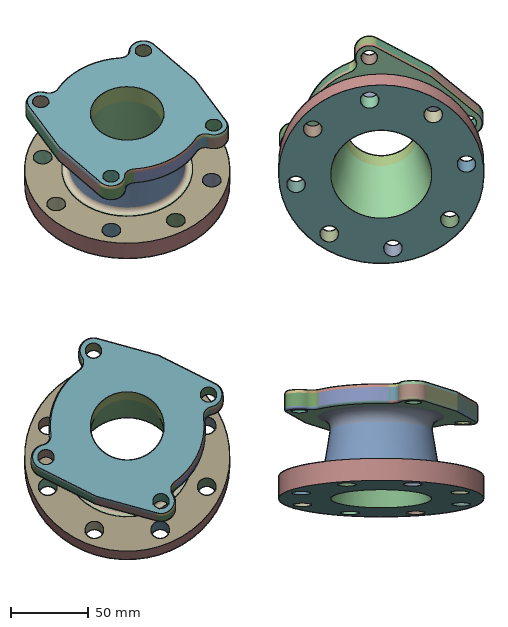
import cadquery as cq
import math

height = 66.7

base_radius = 66.5
base_thickness = 14.5
base_bolt_circle_radius = 55.8
base_hole_diameter = 12.0
base_hole_count = 8
raised_face_radius = 42.5
raised_face_height = 0.3

neck_bottom_radius = 38.2
neck_top_radius = 31.7
neck_bottom_fillet = 3.5
neck_top_fillet = 8.0

bore_top_radius = 23.8
bore_bottom_radius = 32.7
bore_straight_depth = 14.0

plate_thickness = 12.9
plate_side_radius = 50.7
plate_peak_y = 54.2
ear_offset = 40.3
ear_radius = 9.6
ear_hole_diameter = 10.5
ear_blend_radius = 6.0
plate_top_round = 4.0
plate_top_round_height = 2.5
plate_bottom_round = 2.0
plate_bottom_round_height = 1.6

raised_face_z = base_thickness + raised_face_height
plate_bottom_z = height - plate_thickness
plate_blank_bottom_z = plate_bottom_z - (plate_bottom_round - plate_bottom_round_height)
plate_blank_top_z = height + (plate_top_round - plate_top_round_height)
bore_step_z = height - bore_straight_depth


def polar(radius, angle, center=(0, 0)):
    """Point at a radius and angle (radians) from a center."""
    return (center[0] + radius * math.cos(angle), center[1] + radius * math.sin(angle))


def make_plate():
    """Plate with two peaked edges, two round sides and an ear at each corner."""
    ear = (ear_offset, ear_offset)
    ear_distance = math.hypot(*ear)

    peak_dx = -ear_offset
    peak_dy = plate_peak_y - ear_offset
    peak_angle = math.atan2(peak_dy, peak_dx)
    tangent_angle = peak_angle - math.acos(ear_radius / math.hypot(peak_dx, peak_dy))

    side_reach = plate_side_radius + ear_blend_radius
    ear_reach = ear_radius + ear_blend_radius
    cos_offset = (side_reach**2 + ear_distance**2 - ear_reach**2) / (2 * side_reach * ear_distance)
    blend_angle = math.pi / 4 - math.acos(cos_offset)
    blend = polar(side_reach, blend_angle)
    ear_to_blend = math.atan2(blend[1] - ear[1], blend[0] - ear[0])
    to_ear = ear_to_blend + math.pi
    to_side = blend_angle + math.pi

    side_middle = (plate_side_radius, 0)
    side_end = polar(plate_side_radius, blend_angle)
    blend_middle = polar(ear_blend_radius, (to_ear + to_side) / 2, blend)
    ear_start = polar(ear_radius, ear_to_blend, ear)
    ear_middle = polar(ear_radius, (ear_to_blend + tangent_angle) / 2, ear)
    ear_end = polar(ear_radius, tangent_angle, ear)

    def flip_y(point):
        return (point[0], -point[1])

    half = (
        cq.Workplane("XY", origin=(0, 0, plate_blank_bottom_z))
        .moveTo(0, -plate_peak_y)
        .lineTo(*flip_y(ear_end))
        .threePointArc(flip_y(ear_middle), flip_y(ear_start))
        .threePointArc(flip_y(blend_middle), flip_y(side_end))
        .threePointArc(side_middle, side_end)
        .threePointArc(blend_middle, ear_start)
        .threePointArc(ear_middle, ear_end)
        .lineTo(0, plate_peak_y)
    )
    blank = half.mirrorY().extrude(plate_blank_top_z - plate_blank_bottom_z)
    blank = blank.faces(">Z").edges().fillet(plate_top_round)
    blank = blank.faces("<Z").edges().fillet(plate_bottom_round)

    slab = (
        cq.Workplane("XY", origin=(0, 0, plate_bottom_z))
        .circle(2 * base_radius)
        .extrude(plate_thickness)
    )
    return blank.intersect(slab)


def make_neck():
    """Solid neck: a cone with a fillet where it meets each flange."""
    length = plate_bottom_z - raised_face_z
    taper = math.atan2(neck_bottom_radius - neck_top_radius, length)

    bottom_trim = neck_bottom_fillet * math.tan((math.pi / 2 - taper) / 2)
    top_trim = neck_top_fillet * math.tan((math.pi / 2 + taper) / 2)

    bottom_center = (neck_bottom_radius + bottom_trim, raised_face_z + neck_bottom_fillet)
    top_center = (neck_top_radius + top_trim, plate_bottom_z - neck_top_fillet)
    to_side = taper + math.pi
    bottom_middle = polar(neck_bottom_fillet, (to_side + 1.5 * math.pi) / 2, bottom_center)
    top_middle = polar(neck_top_fillet, (to_side + 0.5 * math.pi) / 2, top_center)
    return (
        cq.Workplane("XZ")
        .moveTo(0, raised_face_z)
        .lineTo(bottom_center[0], raised_face_z)
        .threePointArc(bottom_middle, polar(neck_bottom_fillet, to_side, bottom_center))
        .lineTo(*polar(neck_top_fillet, to_side, top_center))
        .threePointArc(top_middle, (top_center[0], plate_bottom_z))
        .lineTo(0, plate_bottom_z)
        .close()
        .revolve(360, (0, 0, 0), (0, 1, 0))
    )


def make_base():
    """Round flange with a low raised face and a ring of bolt holes."""
    flange = cq.Workplane("XY").circle(base_radius).extrude(base_thickness)
    raised_face = cq.Workplane("XY").circle(raised_face_radius).extrude(raised_face_z)
    holes = (
        cq.Workplane("XY")
        .polarArray(base_bolt_circle_radius, 0, 360, base_hole_count)
        .circle(base_hole_diameter / 2)
        .extrude(base_thickness)
    )
    return flange.union(raised_face).cut(holes)


def make_bore():
    return (
        cq.Workplane("XZ")
        .polyline([
            (0, 0),
            (bore_bottom_radius, 0),
            (bore_top_radius, bore_step_z),
            (bore_top_radius, height),
            (0, height),
        ])
        .close()
        .revolve(360, (0, 0, 0), (0, 1, 0))
    )


def make_ear_holes():
    return (
        cq.Workplane("XY", origin=(0, 0, plate_bottom_z))
        .rect(2 * ear_offset, 2 * ear_offset, forConstruction=True)
        .vertices()
        .circle(ear_hole_diameter / 2)
        .extrude(plate_thickness)
    )


result = make_base().union(make_neck()).union(make_plate()).cut(make_bore()).cut(make_ear_holes())